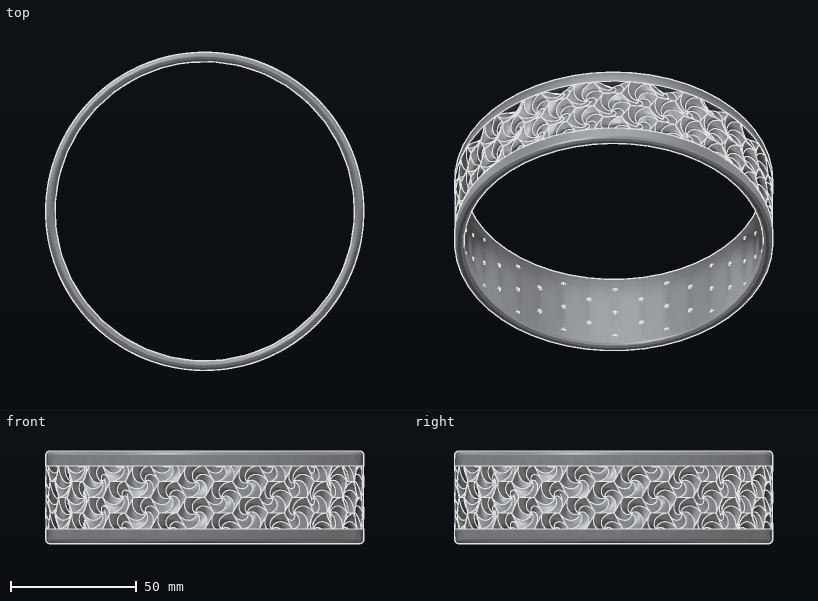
import cadquery as cq
import math

outer_radius = 63.3
wall = 3.8
height = 37.0
rim_flat = 0.1
inner_radius = outer_radius - wall
rim_fillet = (wall - rim_flat) / 2

columns = 36
row_pitch = 12.5
first_column_angle = -3.3
column_step = 360 / columns
column_pitch = 2 * math.pi * outer_radius / columns
band_height = 2 * row_pitch

ridge_drop = 0.06
twist = 100.0
tip_radius = 0.1
tip_overrun = 0.06
loft_steps = 6
mouth_half_height = row_pitch / math.sqrt(3)
mouth_half_width = column_pitch / 1.5
mouth_distance = outer_radius - ridge_drop
tip_distance = inner_radius - tip_overrun

sector_count = columns // 2
sector_angle = 360 / sector_count


def raised(shape, z):
    return shape.moved(cq.Location(cq.Vector(0, 0, z)))


def turned(shape, angle):
    return shape.rotate(cq.Vector(0, 0, 0), cq.Vector(0, 0, 1), angle)


def hexagon(share, curved):
    """Section of the dimple facing -Y, at a share of the way from mouth to tip.

    A curved section has all its corners at one distance from the axis; others are flat.
    """
    narrowing = 1 - share * (1 - tip_radius / mouth_half_height)
    distance = mouth_distance + share * (tip_distance - mouth_distance)
    corners = []
    for corner in range(6):
        angle = math.radians(60 * corner + share * twist)
        arc = narrowing * mouth_half_width * math.cos(angle)
        z = narrowing * mouth_half_height * math.sin(angle)
        if curved:
            bend = arc / outer_radius
            corners.append(cq.Vector(distance * math.sin(bend), -distance * math.cos(bend), z))
        else:
            corners.append(cq.Vector(arc, -distance, z))
    return cq.Wire.makePolygon(corners, close=True)


def make_dimple():
    """Twisted pyramid centred on -Y, its mouth bent round the wall, its tip through it.

    It carries on one step outside the mouth, and its two end sections are flat.
    """
    wires = []
    for step in range(-1, loft_steps + 1):
        wires.append(hexagon(step / loft_steps, curved=0 <= step < loft_steps))
    return cq.Solid.makeLoft(wires)


def make_plain_sector():
    """Piece of the ring two columns long, centred on -Y, with rounded rim edges."""
    sector = (
        cq.Workplane("XZ")
        .moveTo(inner_radius + wall / 2, 0)
        .rect(wall, height)
        .revolve(sector_angle, (0, 0, 0), (0, 1, 0))
        .faces("<Z or >Z")
        .edges("%CIRCLE")
        .fillet(rim_fillet)
        .val()
    )
    return turned(sector, -90 - sector_angle / 2)


def make_sector():
    """Plain sector with its dimples cut; those reaching past the band stop at its edge."""
    sector = make_plain_sector()
    dimple = make_dimple()
    band = cq.Workplane("XY").box(3 * outer_radius, 3 * outer_radius, band_height).val()
    two_heights = (-row_pitch / 2, row_pitch / 2)
    three_heights = (-row_pitch, 0, row_pitch)
    for column, heights in ((-1, three_heights), (0, two_heights), (1, three_heights)):
        for z in heights:
            cutter = raised(dimple, z).intersect(band)
            pieces = sector.cut(turned(cutter, first_column_angle + column * column_step))
            sector = max(pieces.Solids(), key=lambda piece: piece.Volume())
    return sector


def is_sector_end(face):
    """True for the upright flat faces where one sector joins the next."""
    return face.geomType() == "PLANE" and abs(face.normalAt().z) < 0.5


def make_ring():
    """Sectors joined into one solid by sewing their outside faces, then merging the seams."""
    skin = [face for face in make_sector().Faces() if not is_sector_end(face)]
    faces = []
    for index in range(sector_count):
        faces += [turned(face, index * sector_angle) for face in skin]
    return cq.Solid.makeSolid(cq.Shell.makeShell(faces)).clean().fix()


result = cq.Workplane(obj=make_ring())